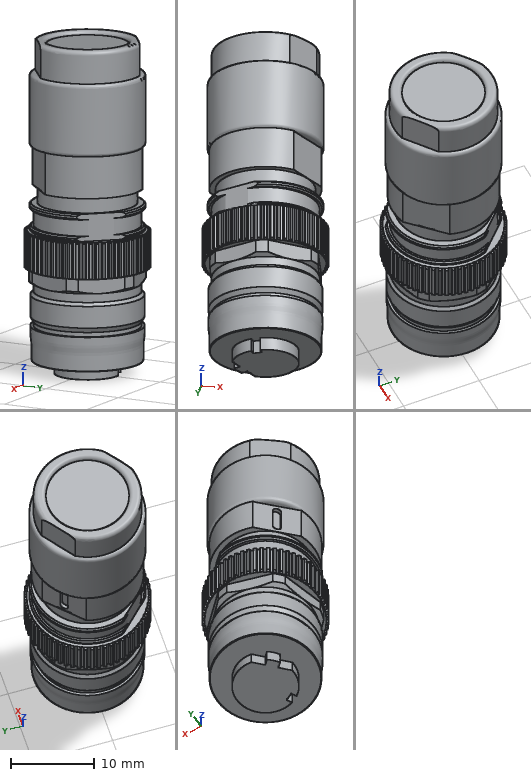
import cadquery as cq
import math

TOTAL_HEIGHT = 40.85

INSERT_TOP = 1.6
PLUG_TAPER_BOTTOM = 3.7
PLUG_TAPER_TOP = 4.65
PLUG_TOP = 5.85
COLLAR_CONE_BOTTOM = 6.37
COLLAR_BOTTOM = 7.0
COLLAR_TOP = 9.65
COLLAR_CHAMFER_TOP = 10.05
HEX_BOTTOM = 11.1
KNURL_BOTTOM = 13.05
KNURL_TOP = 17.55
BAND_BOTTOM = 18.18
BAND_TOP = 20.22
FLANGE_TOP = 20.9
BODY_BOTTOM = 22.85
SLEEVE_BOTTOM = 27.9
SLEEVE_TOP = 36.85

INSERT_RADIUS = 4.0
PLUG_RADIUS = 6.75
COLLAR_RADIUS = 6.85
GROOVE_RADIUS = 6.5
BAND_RADIUS = GROOVE_RADIUS
CAP_RADIUS = GROOVE_RADIUS
HEX_CORNER_RADIUS = 7.1
FLANGE_RADIUS = 7.0
SLEEVE_RADIUS = FLANGE_RADIUS
BODY_RADIUS = PLUG_RADIUS
NECK_RADIUS = 6.0
KNURL_RADIUS = 7.6

CAP_FILLET = 0.55
RECESS_RIM_RADIUS = 5.47
RECESS_DEPTH = 0.5
SLEEVE_FILLET = 0.5
FLANGE_CHAMFER = 0.2
KNURL_CHAMFER_WIDTH = 0.3
KNURL_CHAMFER_HEIGHT = 0.12
HEX_CHAMFER_HEIGHT = 0.35
PLUG_CHAMFER = 0.1
TAPER_BLEND_RADIUS = 2.8

TOOTH_COUNT = 59
FIRST_GAP_ANGLE = -0.8
KNURL_ROOT_RADIUS = 7.27
GAP_ROOT_WIDTH = 0.3
GAP_MOUTH_WIDTH = 0.5

CAP_FLAT_APOTHEM = 6.0
CAP_FLAT_ANGLES = (-52.6, 127.4)
BODY_FLAT_APOTHEM = 6.05
BODY_FLAT_ANGLES = (-45, 135)
FLANGE_FLAT_APOTHEM = 6.3
FLANGE_FLAT_ANGLES = (-135, 45)
HEX_APOTHEM = 6.5
HEX_FIRST_ANGLE = -15
HEX_SIDES = 6

SLOT_ANGLE = BODY_FLAT_ANGLES[1]
SLOT_WIDTH = 1.02
SLOT_LENGTH = 4.0
SLOT_DEPTH = 0.5
SLOT_CENTRE_HEIGHT = (BODY_BOTTOM + SLEEVE_BOTTOM) / 2

RIB_ANGLE = 136
RIB_WIDTH = 1.65
RIB_FLAT_APOTHEM = 3.1
KEYWAY_ANGLE = -118.6
KEYWAY_WIDTH = 1.1
KEYWAY_FLOOR_DISTANCE = 3.23


def disc(radius, bottom, top):
    return cq.Workplane("XY").workplane(offset=bottom).circle(radius).extrude(top - bottom)


def revolve(profile):
    return profile.close().revolve(360, (0, 0, 0), (0, 1, 0))


def outside_flat(apothem, angle, bottom, top):
    """Block lying beyond a flat whose normal points along the given angle."""
    size = 2 * KNURL_RADIUS
    block = cq.Workplane("XY").box(size, size, top - bottom, centered=(False, True, False))
    return block.translate((apothem, 0, bottom)).rotate((0, 0, 0), (0, 0, 1), angle)


def cut_flats(solid, apothem, angles, bottom, top):
    for angle in angles:
        solid = solid.cut(outside_flat(apothem, angle, bottom, top))
    return solid


def radial_bar(width, start, angle, height):
    """Bar standing on Z = 0 that runs outward along the given angle from a distance to the axis."""
    bar = cq.Workplane("XY").box(2 * KNURL_RADIUS, width, height, centered=(False, True, False))
    return bar.translate((start, 0, 0)).rotate((0, 0, 0), (0, 0, 1), angle)


def make_insert():
    insert = disc(INSERT_RADIUS, 0, INSERT_TOP)
    beside_rib = outside_flat(RIB_FLAT_APOTHEM, RIB_ANGLE, 0, INSERT_TOP)
    beside_rib = beside_rib.cut(radial_bar(RIB_WIDTH, 0, RIB_ANGLE, INSERT_TOP))
    keyway = radial_bar(KEYWAY_WIDTH, KEYWAY_FLOOR_DISTANCE, KEYWAY_ANGLE, INSERT_TOP)
    return insert.cut(beside_rib).cut(keyway)


def make_plug():
    plug = revolve(
        cq.Workplane("XZ")
        .moveTo(0, INSERT_TOP)
        .lineTo(PLUG_RADIUS - PLUG_CHAMFER, INSERT_TOP)
        .lineTo(PLUG_RADIUS, INSERT_TOP + PLUG_CHAMFER)
        .lineTo(PLUG_RADIUS, PLUG_TAPER_BOTTOM)
        .lineTo(COLLAR_RADIUS, PLUG_TAPER_TOP)
        .lineTo(COLLAR_RADIUS, PLUG_TOP)
        .lineTo(GROOVE_RADIUS, PLUG_TOP)
        .lineTo(GROOVE_RADIUS, COLLAR_CONE_BOTTOM)
        .lineTo(COLLAR_RADIUS, COLLAR_BOTTOM)
        .lineTo(COLLAR_RADIUS, COLLAR_TOP)
        .lineTo(GROOVE_RADIUS, COLLAR_CHAMFER_TOP)
        .lineTo(GROOVE_RADIUS, HEX_BOTTOM)
        .lineTo(0, HEX_BOTTOM)
    )
    taper_edges = cq.selectors.BoxSelector(
        (-KNURL_RADIUS, -KNURL_RADIUS, PLUG_TAPER_BOTTOM - PLUG_CHAMFER),
        (KNURL_RADIUS, KNURL_RADIUS, PLUG_TAPER_TOP + PLUG_CHAMFER),
        boundingbox=True,
    )
    return plug.edges("%CIRCLE").edges(taper_edges).fillet(TAPER_BLEND_RADIUS)


def make_hex():
    hexagon = revolve(
        cq.Workplane("XZ")
        .moveTo(0, HEX_BOTTOM)
        .lineTo(HEX_APOTHEM, HEX_BOTTOM)
        .lineTo(HEX_CORNER_RADIUS, HEX_BOTTOM + HEX_CHAMFER_HEIGHT)
        .lineTo(HEX_CORNER_RADIUS, KNURL_BOTTOM)
        .lineTo(0, KNURL_BOTTOM)
    )
    angles = [HEX_FIRST_ANGLE + 360 * side / HEX_SIDES for side in range(HEX_SIDES)]
    return cut_flats(hexagon, HEX_APOTHEM, angles, HEX_BOTTOM, KNURL_BOTTOM)


def make_knurl():
    rim_radius = KNURL_RADIUS - KNURL_CHAMFER_WIDTH
    teeth = revolve(
        cq.Workplane("XZ")
        .moveTo(0, KNURL_BOTTOM)
        .lineTo(rim_radius, KNURL_BOTTOM)
        .lineTo(KNURL_RADIUS, KNURL_BOTTOM + KNURL_CHAMFER_HEIGHT)
        .lineTo(KNURL_RADIUS, KNURL_TOP - KNURL_CHAMFER_HEIGHT)
        .lineTo(rim_radius, KNURL_TOP)
        .lineTo(0, KNURL_TOP)
    )
    gap = (
        cq.Workplane("XY")
        .workplane(offset=KNURL_BOTTOM)
        .moveTo(KNURL_ROOT_RADIUS, -GAP_ROOT_WIDTH / 2)
        .lineTo(KNURL_RADIUS, -GAP_MOUTH_WIDTH / 2)
        .lineTo(KNURL_RADIUS + GAP_MOUTH_WIDTH, -GAP_MOUTH_WIDTH / 2)
        .lineTo(KNURL_RADIUS + GAP_MOUTH_WIDTH, GAP_MOUTH_WIDTH / 2)
        .lineTo(KNURL_RADIUS, GAP_MOUTH_WIDTH / 2)
        .lineTo(KNURL_ROOT_RADIUS, GAP_ROOT_WIDTH / 2)
        .close()
        .extrude(KNURL_TOP - KNURL_BOTTOM)
        .val()
    )
    gaps = []
    for tooth in range(TOOTH_COUNT):
        angle = FIRST_GAP_ANGLE + 360 * tooth / TOOTH_COUNT
        gaps.append(gap.rotate(cq.Vector(0, 0, 0), cq.Vector(0, 0, 1), angle))
    return teeth.cut(cq.Workplane(cq.Compound.makeCompound(gaps)))


def make_flanges():
    """Two chamfered flanges with a narrower band between them, cut by two flats."""
    lower = disc(FLANGE_RADIUS, KNURL_TOP, BAND_BOTTOM).edges().chamfer(FLANGE_CHAMFER)
    upper = disc(FLANGE_RADIUS, BAND_TOP, FLANGE_TOP).edges().chamfer(FLANGE_CHAMFER)
    flanges = disc(BAND_RADIUS, KNURL_TOP, FLANGE_TOP).union(lower).union(upper)
    return cut_flats(flanges, FLANGE_FLAT_APOTHEM, FLANGE_FLAT_ANGLES, KNURL_TOP, FLANGE_TOP)


def make_body():
    """Body with wrench flats and a slot, reaching up into the sleeve's rounded lower edge."""
    top = SLEEVE_BOTTOM + SLEEVE_FILLET
    body = disc(BODY_RADIUS, BODY_BOTTOM, top)
    body = cut_flats(body, BODY_FLAT_APOTHEM, BODY_FLAT_ANGLES, BODY_BOTTOM, top)
    slot = (
        cq.Workplane("YZ")
        .workplane(offset=BODY_FLAT_APOTHEM - SLOT_DEPTH)
        .center(0, SLOT_CENTRE_HEIGHT)
        .slot2D(SLOT_LENGTH, SLOT_WIDTH, 90)
        .extrude(2 * SLOT_DEPTH)
        .rotate((0, 0, 0), (0, 0, 1), SLOT_ANGLE)
    )
    return body.cut(slot)


def make_sleeve():
    return disc(SLEEVE_RADIUS, SLEEVE_BOTTOM, SLEEVE_TOP).edges("%CIRCLE").fillet(SLEEVE_FILLET)


def make_cap():
    """Cap with two wrench flats and a shallow recess whose rim rolls over a full quarter round."""
    cap = disc(CAP_RADIUS, SLEEVE_TOP, TOTAL_HEIGHT).faces(">Z").edges().fillet(CAP_FILLET)
    floor_height = TOTAL_HEIGHT - RECESS_DEPTH
    floor_radius = RECESS_RIM_RADIUS - RECESS_DEPTH
    quarter_round_middle = RECESS_DEPTH * math.sqrt(0.5)
    recess = revolve(
        cq.Workplane("XZ")
        .moveTo(0, floor_height)
        .lineTo(floor_radius, floor_height)
        .threePointArc(
            (RECESS_RIM_RADIUS - quarter_round_middle, floor_height + quarter_round_middle),
            (RECESS_RIM_RADIUS, TOTAL_HEIGHT),
        )
        .lineTo(0, TOTAL_HEIGHT)
    )
    cap = cap.cut(recess)
    return cut_flats(cap, CAP_FLAT_APOTHEM, CAP_FLAT_ANGLES, SLEEVE_TOP, TOTAL_HEIGHT)


result = make_insert()
for section in (
    make_plug(),
    make_hex(),
    make_knurl(),
    make_flanges(),
    disc(NECK_RADIUS, FLANGE_TOP, BODY_BOTTOM),
    make_body(),
    make_sleeve(),
    make_cap(),
):
    result = result.union(section)